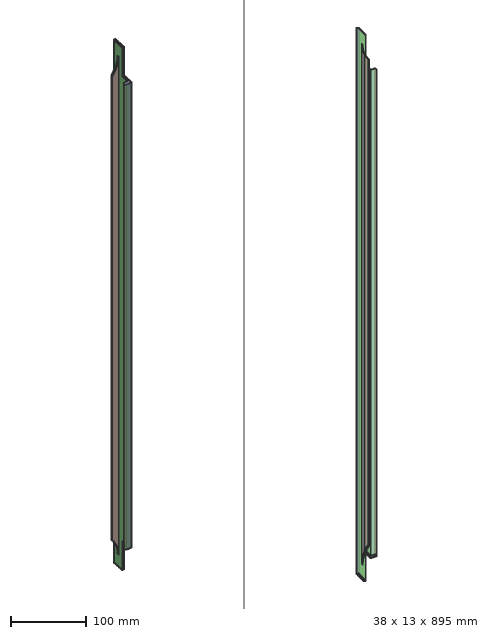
import cadquery as cq
import math

WIDTH = 38.0
DEPTH = 13.0
LENGTH = 895.0

PLATE_THICKNESS = 3.0
NARROW_WIDTH = 20.5
NOTCH_LENGTH = 49.0
EDGE_RADIUS = 1.5

RIB_OFFSET = 9.5
RIB_THICKNESS = 2.5
RIB_END_GAP = 21.0
RIB_RUNOUT = 28.5

BEAD_START_DEPTH = 5.5
BEAD_CREST_DEPTH = 8.0
BEAD_END_DEPTH = 10.8
BEAD_HEIGHT = 0.5

LIP_WIDTH = 5.0
LIP_DEPTH = 10.0
LIP_RADIUS = 1.5

LEFT = -WIDTH / 2
RIGHT = WIDTH / 2
BACK = DEPTH / 2
FRONT = -DEPTH / 2
PLATE_FRONT = BACK - PLATE_THICKNESS
BODY_LENGTH = LENGTH - 2 * NOTCH_LENGTH
RIB_LEFT = LEFT + RIB_OFFSET
RIB_RIGHT = RIB_LEFT + RIB_THICKNESS


def block(x_start, x_end, y_front, length):
    """Bar from y_front to the back of the plate, centred along Z."""
    bar = cq.Workplane("XY").box(x_end - x_start, BACK - y_front, length, centered=(False, False, True))
    return bar.translate((x_start, y_front, 0))


def make_plate():
    tongues = block(LEFT, LEFT + NARROW_WIDTH, PLATE_FRONT, LENGTH)
    tongues = tongues.edges("|Z and <X and <Y").fillet(EDGE_RADIUS)
    body = block(LEFT + NARROW_WIDTH, RIGHT, PLATE_FRONT, BODY_LENGTH)
    return tongues.union(body)


def make_rib_section():
    """Full-height rib with its bead, along the whole strip."""
    return (
        cq.Workplane("XY", origin=(0, 0, -LENGTH / 2))
        .moveTo(RIB_LEFT, BACK)
        .lineTo(RIB_LEFT, BACK - BEAD_START_DEPTH)
        .lineTo(RIB_LEFT - BEAD_HEIGHT, BACK - BEAD_CREST_DEPTH)
        .lineTo(RIB_LEFT, BACK - BEAD_END_DEPTH)
        .lineTo(RIB_LEFT, FRONT)
        .lineTo(RIB_RIGHT, FRONT)
        .lineTo(RIB_RIGHT, BACK)
        .close()
        .extrude(LENGTH)
    )


def make_rib_outline():
    """Side outline of the rib, with end arcs that leave the plate tangentially."""
    root_end = LENGTH / 2 - RIB_END_GAP
    crest_end = root_end - RIB_RUNOUT
    height = PLATE_FRONT - FRONT
    radius = (RIB_RUNOUT**2 + height**2) / (2 * height)
    arc_angle = math.asin(RIB_RUNOUT / radius)
    arc_mid_y = PLATE_FRONT - radius * (1 - math.cos(arc_angle / 2))
    arc_mid_z = root_end - radius * math.sin(arc_angle / 2)
    return (
        cq.Workplane("YZ", origin=(LEFT, 0, 0))
        .moveTo(BACK, -root_end)
        .lineTo(PLATE_FRONT, -root_end)
        .threePointArc((arc_mid_y, -arc_mid_z), (FRONT, -crest_end))
        .lineTo(FRONT, crest_end)
        .threePointArc((arc_mid_y, arc_mid_z), (PLATE_FRONT, root_end))
        .lineTo(BACK, root_end)
        .close()
        .extrude(WIDTH)
    )


def make_rib():
    return make_rib_section().intersect(make_rib_outline())


def make_lip():
    lip = block(RIGHT - LIP_WIDTH, RIGHT, BACK - LIP_DEPTH, BODY_LENGTH)
    return lip.edges("|Z and <Y").fillet(LIP_RADIUS)


result = make_plate().union(make_rib()).union(make_lip())